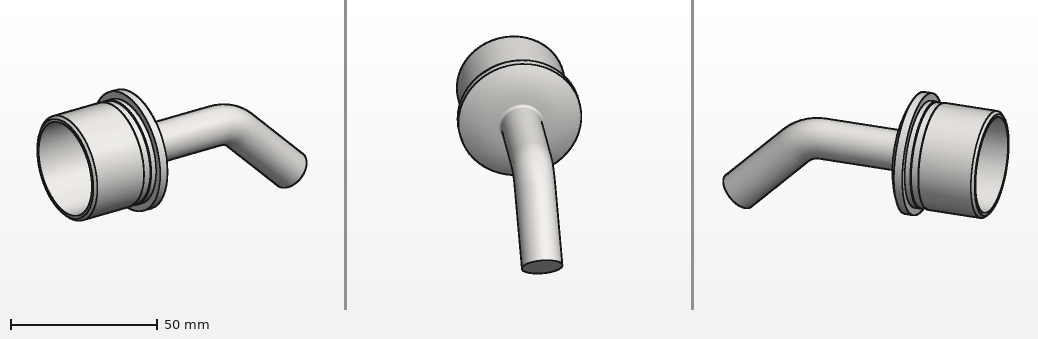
import cadquery as cq
import math


spigot_diameter = 37.2
spigot_length = 25.0
bore_diameter = 33.2
bore_depth = spigot_length
rim_chamfer = 1.0

groove_start = 20.0
groove_end = 23.0
groove_depth = 0.25
groove_wall_slope = 0.25

flange_diameter = 42.4
flange_thickness = 3.0
dome_height = 4.0

stem_diameter = 14.0
stem_fillet = 1.0
bend_angle = 45.0
bend_radius = 14.0
bend_corner_y = 67.0
stem_end_drop = 25.0

flange_radius = flange_diameter / 2
stem_radius = stem_diameter / 2
dome_base_y = spigot_length + flange_thickness
dome_top_y = dome_base_y + dome_height
dome_width = flange_radius - stem_radius
dome_arc_radius = (dome_width**2 + dome_height**2) / (2 * dome_height)
dome_arc_center_y = dome_top_y - dome_arc_radius


def dome_y(radius):
    """Y of the dome surface at a distance from the Y axis beyond the stem surface."""
    return dome_arc_center_y + math.sqrt(dome_arc_radius**2 - (radius - stem_radius) ** 2)


def make_cap():
    """Spigot, flange and dome, revolved about the Y axis."""
    spigot_radius = spigot_diameter / 2
    groove_radius = spigot_radius - groove_depth
    mid_radius = (flange_radius + stem_radius) / 2
    profile = (
        cq.Workplane("XY")
        .moveTo(0, 0)
        .lineTo(spigot_radius - rim_chamfer, 0)
        .lineTo(spigot_radius, rim_chamfer)
        .lineTo(spigot_radius, groove_start)
        .lineTo(groove_radius, groove_start + groove_wall_slope)
        .lineTo(groove_radius, groove_end - groove_wall_slope)
        .lineTo(spigot_radius, groove_end)
        .lineTo(spigot_radius, spigot_length)
        .lineTo(flange_radius, spigot_length)
        .lineTo(flange_radius, dome_base_y)
        .threePointArc((mid_radius, dome_y(mid_radius)), (stem_radius, dome_top_y))
        .lineTo(0, dome_top_y)
        .close()
    )
    return profile.revolve(360, (0, 0, 0), (0, 1, 0))


def make_stem():
    """Round bar swept along its bent centre line, from inside the flange."""
    angle = math.radians(bend_angle)
    bend_start_y = bend_corner_y - bend_radius * math.tan(angle / 2)

    def bend_point(turn):
        y = bend_start_y + bend_radius * math.sin(turn)
        z = bend_radius * (math.cos(turn) - 1)
        return (y, z)

    stem_end_y = bend_corner_y + stem_end_drop / math.tan(angle)
    path = (
        cq.Workplane("YZ")
        .moveTo(dome_base_y, 0)
        .lineTo(bend_start_y, 0)
        .threePointArc(bend_point(angle / 2), bend_point(angle))
        .lineTo(stem_end_y, -stem_end_drop)
    )
    section = cq.Workplane("XZ", origin=(0, dome_base_y, 0)).circle(stem_radius)
    return section.sweep(path)


def stem_root_fillet():
    """Fillet ring between dome and stem, tangent to both surfaces."""
    center_r = stem_radius + stem_fillet
    center_y = dome_arc_center_y + math.sqrt((dome_arc_radius + stem_fillet) ** 2 - stem_fillet**2)
    dome_touch_r = stem_radius + stem_fillet * dome_arc_radius / (dome_arc_radius + stem_fillet)
    dome_touch_y = dome_y(dome_touch_r)
    chord_r = stem_radius + dome_touch_r - 2 * center_r
    chord_y = dome_touch_y - center_y
    reach = stem_fillet / math.hypot(chord_r, chord_y)
    arc_middle = (center_r + chord_r * reach, center_y + chord_y * reach)
    profile = (
        cq.Workplane("XY")
        .moveTo(0, center_y)
        .lineTo(stem_radius, center_y)
        .threePointArc(arc_middle, (dome_touch_r, dome_touch_y))
        .lineTo(dome_touch_r, dome_base_y)
        .lineTo(0, dome_base_y)
        .close()
    )
    return profile.revolve(360, (0, 0, 0), (0, 1, 0))


def make_bore():
    """Blind bore with a flat floor, open at Y = 0."""
    return cq.Workplane("XZ").circle(bore_diameter / 2).extrude(-bore_depth)


result = make_cap().union(make_stem()).union(stem_root_fillet()).cut(make_bore())